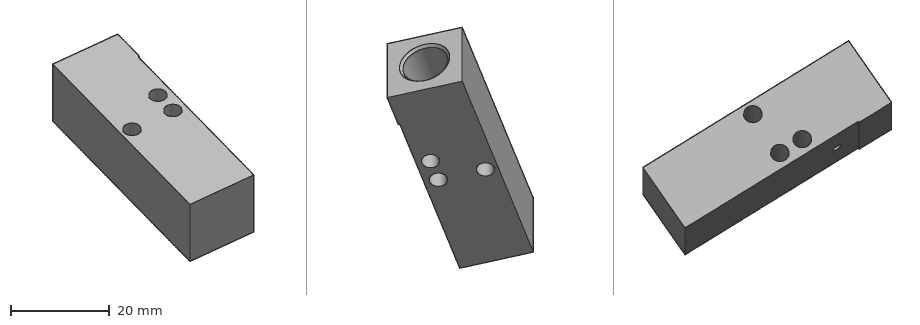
import cadquery as cq
import math

length = 49.85
width = 15.9
height = 15.9

relief_start = 7.85
relief_depth = 0.3

bolt_diameter = 3.7
bolt_x = length / 2
bolt_spacing = 9.95
bolt_row_shift = -0.35
extra_hole_x = 19.5

mouth_diameter = 10.6
thread_diameter = 9.5
thread_end_diameter = 8.85
thread_taper = 1 / 16
drill_diameter = 8.55
drill_depth = 11.95
drill_point_angle = 118.0

point_slope = math.tan(math.radians(drill_point_angle / 2))

cross_diameter = 2.0
cross_meeting_y = 2.6


def make_block():
    front_y = -width / 2
    back_y = width / 2
    relief_y = back_y - relief_depth
    outline = [
        (0, front_y),
        (length, front_y),
        (length, relief_y),
        (relief_start, relief_y),
        (relief_start, back_y),
        (0, back_y),
    ]
    return cq.Workplane("XY").polyline(outline).close().extrude(height / 2, both=True)


def make_bolt_holes():
    front_row_y = bolt_row_shift - bolt_spacing / 2
    back_row_y = bolt_row_shift + bolt_spacing / 2
    centers = [(bolt_x, front_row_y), (bolt_x, back_row_y), (extra_hole_x, back_row_y)]
    return (
        cq.Workplane("XY")
        .pushPoints(centers)
        .circle(bolt_diameter / 2)
        .extrude(height / 2, both=True)
    )


def make_port():
    mouth_depth = (mouth_diameter - thread_diameter) / 2
    thread_end = mouth_depth + (thread_diameter - thread_end_diameter) / thread_taper
    tip_depth = drill_depth + drill_diameter / 2 / point_slope
    half_profile = [
        (0, 0),
        (0, mouth_diameter / 2),
        (mouth_depth, thread_diameter / 2),
        (thread_end, thread_end_diameter / 2),
        (thread_end, drill_diameter / 2),
        (drill_depth, drill_diameter / 2),
        (tip_depth, 0),
    ]
    return cq.Workplane("XY").polyline(half_profile).close().revolve(360, (0, 0, 0), (1, 0, 0))


def make_cross_hole():
    cross_x = drill_depth + (drill_diameter / 2 - cross_meeting_y) / point_slope
    return (
        cq.Workplane("XZ", origin=(cross_x, width / 2, 0))
        .circle(cross_diameter / 2)
        .extrude(width / 2)
    )


result = (
    make_block()
    .cut(make_bolt_holes())
    .cut(make_port())
    .cut(make_cross_hole())
)